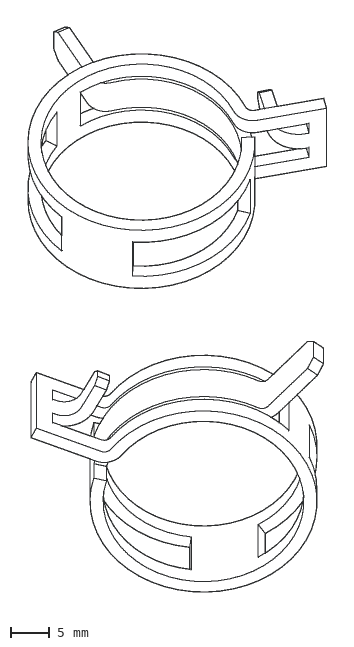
import cadquery as cq
import math


outer_radius = 14.75
thickness = 1.7
inner_radius = outer_radius - thickness
band_height = 12.0

half_span = 19.5
tab_angle = 37.2
bend_start_angle = 48.2
bend_inner_radius = 1.0
bend_outer_radius = bend_inner_radius + thickness

opening_height = 7.0
band_end_angle = 28.0
slot_start_angle = 180.0 - band_end_angle
window_start_angle = 172.0
window_end_angle = 250.0
slot_to_tab_tip = 2.35

tongue_height = 5.8
tongue_corner_chamfer = 1.2

lip_width = 3.0
lip_angle = 129.0
lip_bend_radius = 2.5
lip_root_to_tab_tip = 2.85
lip_top_y = 18.95
lip_corner_chamfer = 0.9


def polar(radius, angle, center=(0.0, 0.0)):
    """Point at a radius and an angle in degrees around a center."""
    a = math.radians(angle)
    return (center[0] + radius * math.cos(a), center[1] + radius * math.sin(a))


bend_center = polar(inner_radius + bend_outer_radius, bend_start_angle)
tab_normal_angle = tab_angle + 270
tab_root = polar(bend_outer_radius, tab_normal_angle, bend_center)
tab_length = (half_span - tab_root[0]) / math.cos(math.radians(tab_angle))


def extrude_centered(profile, height):
    """Extrude a profile equally above and below Z = 0."""
    return profile.extrude(height / 2, both=True)


def strip(start_angle, length, height):
    """Strip running clockwise round the ring, through the bend and along the tab."""
    ring_mid_angle = (start_angle + bend_start_angle) / 2
    bend_mid_angle = (bend_start_angle + 180 + tab_normal_angle) / 2
    inner_tab_root = polar(bend_inner_radius, tab_normal_angle, bend_center)
    profile = (
        cq.Workplane("XY")
        .moveTo(*polar(inner_radius, start_angle))
        .threePointArc(polar(inner_radius, ring_mid_angle), polar(inner_radius, bend_start_angle))
        .threePointArc(polar(bend_outer_radius, bend_mid_angle, bend_center), tab_root)
        .lineTo(*polar(length, tab_angle, tab_root))
        .lineTo(*polar(length, tab_angle, inner_tab_root))
        .lineTo(*inner_tab_root)
        .threePointArc(
            polar(bend_inner_radius, bend_mid_angle, bend_center),
            polar(outer_radius, bend_start_angle),
        )
        .threePointArc(polar(outer_radius, ring_mid_angle), polar(outer_radius, start_angle))
        .close()
    )
    return extrude_centered(profile, height)


def swap_sides(solid):
    """Turn a solid half a revolution about Y, which mirrors these Z-symmetric shapes in X."""
    return solid.rotate((0, 0, 0), (0, 1, 0), 180)


def window():
    """Cutter for the left-hand window, a sector with radial ends."""
    reach = 2 * outer_radius
    profile = (
        cq.Workplane("XY")
        .lineTo(*polar(reach, window_start_angle))
        .threePointArc(
            polar(reach, (window_start_angle + window_end_angle) / 2),
            polar(reach, window_end_angle),
        )
        .close()
    )
    return extrude_centered(profile, opening_height)


def tip_edges(solid, tip_angle):
    """The two edges across the thickness at the square tip of a straight end."""
    across = polar(1.0, tip_angle + 90)
    along = polar(1.0, tip_angle)
    tip_face = solid.faces(cq.selectors.DirectionMinMaxSelector(cq.Vector(*along), True))
    return tip_face.edges(cq.selectors.ParallelDirSelector(cq.Vector(*across)))


def make_band():
    """Full-height strip with the tongue slot and the two windows cut out."""
    band = strip(band_end_angle + 360, tab_length, band_height)
    band = band.cut(strip(slot_start_angle, tab_length - slot_to_tab_tip, opening_height))
    left_window = window()
    return band.cut(left_window).cut(swap_sides(left_window))


def make_tongue():
    """Narrow strip from the free band edge through the slot to the left-hand tab."""
    tongue = strip(slot_start_angle, tab_length, tongue_height)
    tongue = tip_edges(tongue, tab_angle).chamfer(tongue_corner_chamfer)
    return swap_sides(tongue)


def make_lip():
    """Lip leaving the slot end in the plane of the tab, then curling up and back."""
    outer_bend = lip_bend_radius + thickness
    wall_start = polar(tab_length - slot_to_tab_tip, tab_angle, tab_root)
    root = polar(tab_length - lip_root_to_tab_tip, tab_angle, tab_root)
    center = polar(outer_bend, tab_angle + 90, root)
    end_angle = lip_angle + 90
    mid_angle = (tab_normal_angle + end_angle) / 2
    inner_end = polar(lip_bend_radius, end_angle, center)
    outer_end = polar(outer_bend, end_angle, center)
    length = (lip_top_y - inner_end[1]) / math.sin(math.radians(lip_angle))
    profile = (
        cq.Workplane("XY")
        .moveTo(*wall_start)
        .lineTo(*root)
        .threePointArc(polar(outer_bend, mid_angle, center), outer_end)
        .lineTo(*polar(length, lip_angle, outer_end))
        .lineTo(*polar(length, lip_angle, inner_end))
        .lineTo(*inner_end)
        .threePointArc(
            polar(lip_bend_radius, mid_angle, center),
            polar(lip_bend_radius, tab_normal_angle, center),
        )
        .lineTo(*polar(thickness, tab_angle + 90, wall_start))
        .close()
    )
    lip = extrude_centered(profile, lip_width)
    return tip_edges(lip, lip_angle).chamfer(lip_corner_chamfer)


result = make_band().union(make_tongue()).union(make_lip())